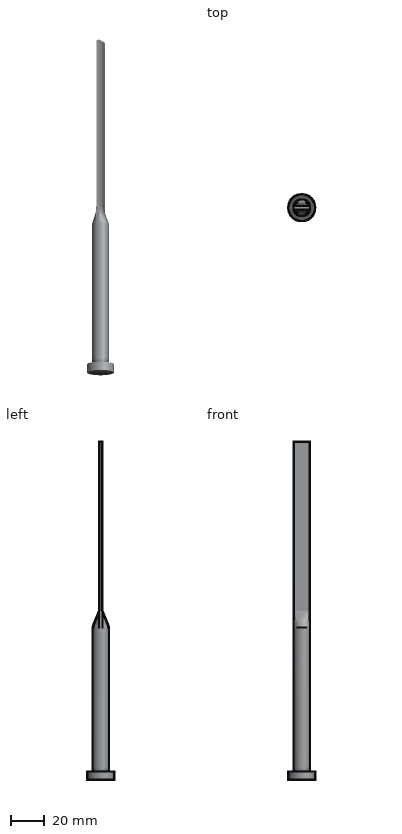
import cadquery as cq
import math

HEAD_DIAMETER = 16.0
HEAD_HEIGHT = 5.0
SHANK_DIAMETER = 10.0
SHANK_TOP = 90.0
BLADE_BOTTOM = 100.0
BLADE_TOP = 200.0
BLADE_WIDTH = 9.5
BLADE_THICKNESS = 2.0

shank_radius = SHANK_DIAMETER / 2
half_width = BLADE_WIDTH / 2
half_thickness = BLADE_THICKNESS / 2


def make_head():
    """Round head, resting on Z = 0."""
    return cq.Workplane("XY").circle(HEAD_DIAMETER / 2).extrude(HEAD_HEIGHT)


def make_shank():
    """Round shank, from the bottom of the head to the start of the taper."""
    return cq.Workplane("XY").circle(shank_radius).extrude(SHANK_TOP)


def make_taper():
    """Ruled transition from the round shank to the rectangular blade.

    The circle is split into four arcs, level with the blade faces, so that
    each arc blends into one side of the rectangle.
    """
    split_x = math.sqrt(shank_radius**2 - half_thickness**2)
    return (
        cq.Workplane("XY", origin=(0, 0, SHANK_TOP))
        .moveTo(-split_x, -half_thickness)
        .threePointArc((0, -shank_radius), (split_x, -half_thickness))
        .threePointArc((shank_radius, 0), (split_x, half_thickness))
        .threePointArc((0, shank_radius), (-split_x, half_thickness))
        .threePointArc((-shank_radius, 0), (-split_x, -half_thickness))
        .close()
        .workplane(offset=BLADE_BOTTOM - SHANK_TOP)
        .moveTo(-half_width, -half_thickness)
        .lineTo(half_width, -half_thickness)
        .lineTo(half_width, half_thickness)
        .lineTo(-half_width, half_thickness)
        .close()
        .loft(ruled=True)
    )


def make_blade():
    """Flat rectangular blade above the taper."""
    return (
        cq.Workplane("XY", origin=(0, 0, BLADE_BOTTOM))
        .rect(BLADE_WIDTH, BLADE_THICKNESS)
        .extrude(BLADE_TOP - BLADE_BOTTOM)
    )


result = make_head().union(make_shank()).union(make_taper()).union(make_blade())